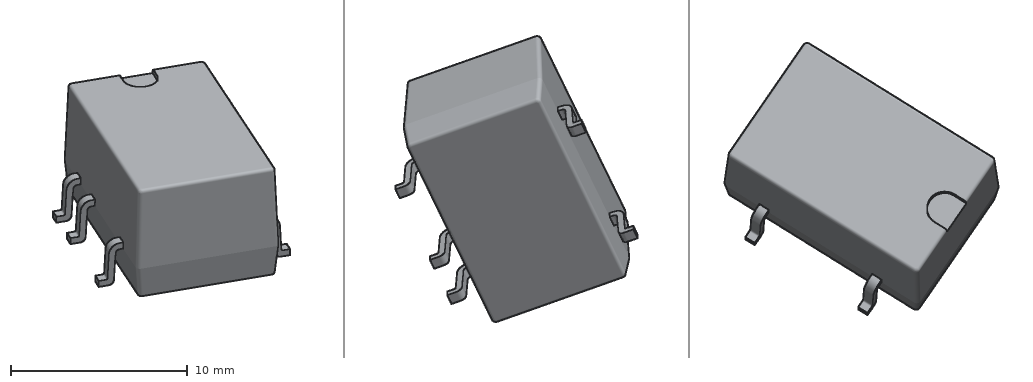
import cadquery as cq
import math

body_length = 13.2
body_width = 8.5
body_bottom = 0.25
body_top = 7.25
parting_height = 2.25
upper_draft = 2.0
lower_draft = 5.0
corner_radius = 0.25
rim_radius = 0.2

notch_radius = 1.0
notch_depth = 0.3
notch_centre_x = -5.62

pitch = 2.54
front_lead_positions = [-1.5 * pitch, -0.5 * pitch, 1.5 * pitch]
rear_lead_positions = [-1.5 * pitch, 1.5 * pitch]
lead_width = 0.64
lead_thickness = 0.4
lead_span = 11.4
lead_lean = 3.0
lead_embed = 0.5
shoulder_bottom = parting_height
shoulder_bend_y = 4.45
shoulder_inner_radius = 0.25
heel_inner_radius = 0.1
heel_outer_radius = 0.35


def body_half(height, draft):
    """Tapered block growing from the parting plane; a negative height grows downwards."""
    block = cq.Workplane("XY").rect(body_length, body_width).extrude(height, taper=draft)
    return block.translate((0, 0, parting_height))


def make_body():
    upper = body_half(body_top - parting_height, upper_draft)
    lower = body_half(body_bottom - parting_height, lower_draft)
    body = upper.union(lower)
    body = body.edges("not #Z").fillet(corner_radius)
    return body.faces("<Z or >Z").edges().fillet(rim_radius)


def make_notch():
    """Cutter with a round inner end that runs out through the -X wall."""
    floor = cq.Workplane("XY").workplane(offset=body_top - notch_depth)
    round_end = floor.center(notch_centre_x, 0).circle(notch_radius).extrude(notch_depth)
    run_out = body_length / 2 + notch_centre_x
    channel = (
        floor.center(notch_centre_x - run_out / 2, 0)
        .rect(run_out, 2 * notch_radius)
        .extrude(notch_depth)
    )
    return round_end.union(channel)


def on_circle(centre, radius, degrees):
    angle = math.radians(degrees)
    return (centre[0] + radius * math.cos(angle), centre[1] + radius * math.sin(angle))


def heel_arc_centre(shoulder_centre, shoulder_radius, heel_radius, height):
    """Centre, at the given height, of a heel arc whose leg face is also tangent to a shoulder arc."""
    lean = math.radians(lead_lean)
    drop = shoulder_centre[1] - height
    offset = (shoulder_radius + heel_radius + drop * math.sin(lean)) / math.cos(lean)
    return (shoulder_centre[0] + offset, height)


def make_lead():
    """Lead on the +Y side, centred on X = 0, drawn in the YZ plane."""
    shoulder_outer_radius = shoulder_inner_radius + lead_thickness
    shoulder_top = shoulder_bottom + lead_thickness
    root_y = body_width / 2 - lead_embed
    toe_y = lead_span / 2

    shoulder_centre = (shoulder_bend_y, shoulder_bottom - shoulder_inner_radius)
    heel_inner_centre = heel_arc_centre(
        shoulder_centre, shoulder_outer_radius, heel_inner_radius, lead_thickness + heel_inner_radius
    )
    heel_outer_centre = heel_arc_centre(
        shoulder_centre, shoulder_inner_radius, heel_outer_radius, heel_outer_radius
    )

    shoulder_middle = (90 + lead_lean) / 2
    heel_start = 180 + lead_lean
    heel_middle = (heel_start + 270) / 2

    profile = (
        cq.Workplane("YZ")
        .moveTo(root_y, shoulder_top)
        .lineTo(shoulder_bend_y, shoulder_top)
        .threePointArc(
            on_circle(shoulder_centre, shoulder_outer_radius, shoulder_middle),
            on_circle(shoulder_centre, shoulder_outer_radius, lead_lean),
        )
        .lineTo(*on_circle(heel_inner_centre, heel_inner_radius, heel_start))
        .threePointArc(
            on_circle(heel_inner_centre, heel_inner_radius, heel_middle),
            (heel_inner_centre[0], lead_thickness),
        )
        .lineTo(toe_y, lead_thickness)
        .lineTo(toe_y, 0)
        .lineTo(heel_outer_centre[0], 0)
        .threePointArc(
            on_circle(heel_outer_centre, heel_outer_radius, heel_middle),
            on_circle(heel_outer_centre, heel_outer_radius, heel_start),
        )
        .lineTo(*on_circle(shoulder_centre, shoulder_inner_radius, lead_lean))
        .threePointArc(
            on_circle(shoulder_centre, shoulder_inner_radius, shoulder_middle),
            (shoulder_bend_y, shoulder_bottom),
        )
        .lineTo(root_y, shoulder_bottom)
        .close()
    )
    return profile.extrude(lead_width / 2, both=True)


result = make_body().cut(make_notch())

rear_lead = make_lead()
front_lead = rear_lead.mirror("XZ")
for lead_x in rear_lead_positions:
    result = result.union(rear_lead.translate((lead_x, 0, 0)))
for lead_x in front_lead_positions:
    result = result.union(front_lead.translate((lead_x, 0, 0)))